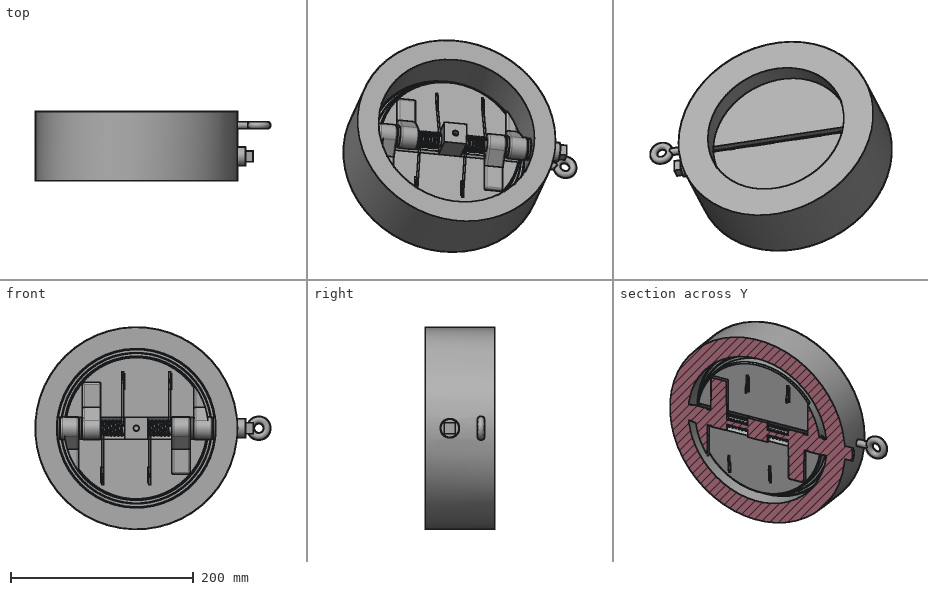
import cadquery as cq
import math


overall_length = 257.4
body_diameter = 221.0
body_width = 76.0
body_radius = body_diameter / 2
front_y = -body_width / 2
back_y = body_width / 2
right_end_x = overall_length - body_radius
bore_radius = 174.0 / 2
seat_step = 1.0
seat_y = 15.5
port_radius = 77.2

plate_face_y = -1.3
plate_boss_radius = 78.8
plate_boss_chamfer = 1.5
plate_rim_radius = 82.5
plate_rim_y = 10.3
plate_rim_chamfer = 0.8
groove_half_width = 12.0
gap_half_width = 3.3

hinge_y = -11.0
barrel_diameter = 25.0
barrel_radius = barrel_diameter / 2
washer_diameter = 24.0
washer_chamfer = 0.8
pin_diameter = 14.0
lug_width = 20.3
lug_round = 2.0
lug_start_x = 38.5
lug_gap = 3.9
lug_height = 50.2
pad_face_y = -6.0
block_width = 24.7
block_height = 2 * groove_half_width
block_front_y = -32.2
block_hole_diameter = 6.2
block_hole_depth = 7.7

wire_diameter = 2.0
wire_radius = wire_diameter / 2
coil_radius = 7.5
coil_pitch = 4.0
leg_inner_x = 14.7
leg_outer_x = 36.5
leg_bend_z = 53.5
leg_tip_z = 61.8
rib_start_z = 42.5
rib_end_z = 59.7
rib_offset = 1.15

plug_diameter = 20.8
plug_end_x = 119.7
plug_chamfer = 0.5
square_size = 12.0
square_end_x = 127.7
eye_wire_diameter = 8.0
eye_outer_diameter = 26.0
eye_bolt_y = 23.0
root_x = 103.0

lug_inner_x = lug_start_x + lug_width
lug_outer_x = lug_inner_x + lug_gap
lug_end_x = lug_outer_x + lug_width


def disc(radius, y_start, y_end):
    """Cylinder about the flow axis."""
    return cq.Workplane("XZ", origin=(0, y_start, 0)).circle(radius).extrude(y_start - y_end)


def rod(diameter, x_start, x_end, y):
    """Cylinder parallel to X at height Z = 0."""
    return cq.Workplane("YZ", origin=(x_start, y, 0)).circle(diameter / 2).extrude(x_end - x_start)


def half_turn(shape):
    """Copy of a shape turned half a revolution about the flow axis."""
    return shape.rotate((0, 0, 0), (0, 1, 0), 180)


def make_body():
    body = disc(body_radius, front_y, back_y)
    body = body.cut(disc(bore_radius, front_y, seat_y - seat_step))
    body = body.cut(disc(bore_radius - seat_step, front_y, seat_y))
    return body.cut(disc(port_radius, seat_y, back_y))


def make_plates():
    boss = disc(plate_boss_radius, plate_face_y, seat_y)
    boss = boss.faces("<Y").edges().chamfer(plate_boss_chamfer)
    rim = disc(plate_rim_radius, plate_rim_y, seat_y)
    rim = rim.faces("<Y").edges().chamfer(plate_rim_chamfer)
    bevel_end_y = plate_face_y + groove_half_width - gap_half_width
    groove = (
        cq.Workplane("YZ")
        .polyline([
            (plate_face_y, -groove_half_width),
            (bevel_end_y, -gap_half_width),
            (seat_y, -gap_half_width),
            (seat_y, gap_half_width),
            (bevel_end_y, gap_half_width),
            (plate_face_y, groove_half_width),
        ])
        .close()
        .extrude(bore_radius, both=True)
    )
    return boss.union(rim).cut(groove)


def make_lug(x_start):
    """Hinge barrel with an arm and pad reaching up over the plate."""
    tangent = barrel_radius * math.sqrt(0.5)
    slope_top_z = pad_face_y - (hinge_y - tangent) + tangent
    root_y = plate_face_y + 2 * lug_round
    arm = (
        cq.Workplane("YZ", origin=(x_start, 0, 0))
        .moveTo(hinge_y - tangent, tangent)
        .lineTo(pad_face_y, slope_top_z)
        .lineTo(pad_face_y, lug_height)
        .lineTo(root_y, lug_height)
        .lineTo(root_y, groove_half_width)
        .lineTo(hinge_y + tangent, tangent)
        .threePointArc((hinge_y, -barrel_radius), (hinge_y - tangent, tangent))
        .close()
        .extrude(lug_width)
    )
    arm = arm.faces(">Z").edges("<Y").fillet(lug_round)
    arm = arm.faces("<X or >X").edges().fillet(lug_round)
    arm = arm.intersect(disc(plate_boss_radius, front_y, seat_y))
    barrel = rod(barrel_diameter, x_start, x_start + lug_width, hinge_y)
    return barrel.edges().fillet(lug_round).union(arm)


def make_washers():
    """Washers between the lugs and at both ends of the pin."""
    spans = [(lug_inner_x, lug_outer_x), (lug_end_x, bore_radius)]
    washers = cq.Workplane()
    for x_start, x_end in spans:
        washer = rod(washer_diameter, x_start, x_end, hinge_y).edges().chamfer(washer_chamfer)
        washers = washers.add(washer).add(half_turn(washer))
    return washers


def make_block():
    depth = plate_face_y - block_front_y
    block = cq.Workplane("XY").box(block_width, depth, block_height)
    block = block.translate((0, block_front_y + depth / 2, 0))
    hole = disc(block_hole_diameter / 2, block_front_y, block_front_y + block_hole_depth)
    return block.cut(hole)


def make_upright_wire(x, y, z_start, z_end):
    """Round wire parallel to Z."""
    return cq.Workplane("XY", origin=(x, y, z_start)).circle(wire_radius).extrude(z_end - z_start)


def make_spring_leg(x):
    """Upper leg tangent to the coil, its tip along the plate and the rib beside the tip."""
    tip_y = plate_face_y - wire_radius / 2
    rise = tip_y - hinge_y
    slope = math.atan2(rise, leg_bend_z) + math.asin(coil_radius / math.hypot(rise, leg_bend_z))
    start = cq.Vector(x, hinge_y - coil_radius * math.cos(slope), coil_radius * math.sin(slope))
    bend = cq.Vector(x, tip_y, leg_bend_z)
    along = bend - start
    leg = cq.Workplane(cq.Plane(origin=start, normal=along)).circle(wire_radius).extrude(along.Length)
    tip = make_upright_wire(x, tip_y, leg_bend_z, leg_tip_z)
    rib = make_upright_wire(x + rib_offset, plate_face_y, rib_start_z, rib_end_z)
    return leg.union(tip).union(rib)


def make_coil(x_start, x_end):
    path = cq.Wire.makeHelix(
        coil_pitch, x_end - x_start, coil_radius, cq.Vector(x_start, hinge_y, 0), cq.Vector(1, 0, 0)
    )
    start = path.startPoint()
    tangent = path.tangentAt(0)
    section = cq.Workplane(cq.Plane(origin=start, normal=tangent)).circle(wire_radius)
    return section.sweep(cq.Workplane(path), isFrenet=True)


def make_plug():
    """Plug with a square drive, in line with the hinge pin."""
    plug = rod(plug_diameter, root_x, plug_end_x, hinge_y).faces(">X").edges().chamfer(plug_chamfer)
    square = (
        cq.Workplane("YZ", origin=(plug_end_x, hinge_y, 0))
        .rect(square_size, square_size)
        .extrude(square_end_x - plug_end_x)
    )
    return plug.union(square)


def make_eye_bolt():
    eye_radius = (eye_outer_diameter - eye_wire_diameter) / 2
    eye_x = right_end_x - eye_outer_diameter / 2
    shank = rod(eye_wire_diameter, root_x, eye_x - eye_radius, eye_bolt_y)
    eye = (
        cq.Workplane("XY", origin=(eye_x, eye_bolt_y, 0))
        .center(-eye_radius, 0)
        .circle(eye_wire_diameter / 2)
        .revolve(360, (eye_radius, -2.5, 0), (eye_radius, 2.5, 0))
    )
    return shank.union(eye)


result = make_body().union(make_eye_bolt()).union(make_plug()).union(make_plates())
result = result.union(rod(pin_diameter, -bore_radius, bore_radius, hinge_y))
for lug_x in (-lug_inner_x, lug_outer_x):
    lug = make_lug(lug_x)
    result = result.union(lug).union(half_turn(lug))
for washer in make_washers().vals():
    result = result.union(cq.Workplane(washer))
result = result.union(make_block())

coil_start_x = block_width / 2 + wire_radius
coil_end_x = lug_start_x - wire_radius
for leg_x in (-leg_inner_x, leg_outer_x):
    leg = make_spring_leg(leg_x)
    result = result.union(leg).union(half_turn(leg))

for x_start, x_end in ((-coil_end_x, -coil_start_x), (coil_start_x, coil_end_x)):
    result = result.union(make_coil(x_start, x_end))